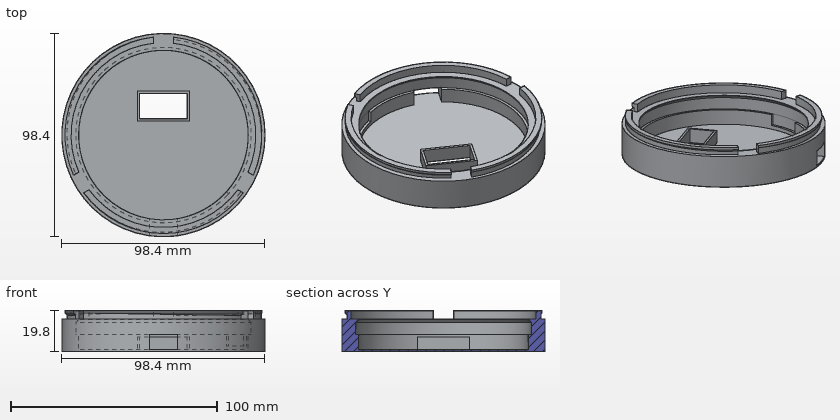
import cadquery as cq
import math

body_radius = 49.2
rim_height = 15.7
total_height = 19.8
floor_thickness = 0.9
bore_radius = 41.0
groove_radius = 42.44
ledge_height = 8.3
rim_land = 0.3

lug_outer_radius = 47.6
lug_inner_radius = 44.7
lip_height = 1.2
end_overhang = 1.2
lug_count = 3
gap_width = 9.8
first_gap_angle = 90.0

window_length = 22.9
window_width = 12.1
window_center_y = 14.0
frame_wall = 1.2
frame_top = 7.1

port_width = 13.5
port_top = 8.3

recess_bottom = 2.8
recess_start_angle = -42.0
recess_end_angle = -19.0


def polar(radius, angle):
    """Point at a radius and an angle in degrees about the body axis."""
    return radius * math.cos(math.radians(angle)), radius * math.sin(math.radians(angle))


def cylinder(radius, bottom, top):
    return cq.Workplane("XY").workplane(offset=bottom).circle(radius).extrude(top - bottom)


def block(length, width, center_y, bottom, top):
    """Upright box centred on X = 0."""
    base = cq.Workplane("XY").workplane(offset=bottom).center(0, center_y)
    return base.rect(length, width).extrude(top - bottom)


def make_cup():
    """Revolved cup with an undercut groove between the ledge and the rim lip."""
    groove_depth = groove_radius - bore_radius
    roof_bottom = rim_height - rim_land - groove_depth
    profile = [
        (0, 0),
        (body_radius, 0),
        (body_radius, rim_height),
        (bore_radius, rim_height),
        (bore_radius, rim_height - rim_land),
        (groove_radius, roof_bottom),
        (groove_radius, ledge_height),
        (bore_radius, ledge_height),
        (bore_radius, floor_thickness),
        (0, floor_thickness),
    ]
    return cq.Workplane("XZ").polyline(profile).close().revolve(360, (0, 0), (0, 1))


def make_lug():
    """The lug on the -Y side: an eccentric neck under a lip with a 45 degree underside."""
    step = 360 / lug_count
    start_gap = first_gap_angle + step
    end_gap = start_gap + step
    half_gap = math.degrees(math.asin(gap_width / 2 / lug_outer_radius))
    start = start_gap + half_gap
    end = end_gap - half_gap
    lip_bottom = total_height - lip_height
    neck_end_radius = lug_outer_radius - end_overhang
    neck_middle_radius = lug_outer_radius - end_overhang / 2

    neck = (
        cq.Workplane("XY").workplane(offset=rim_height)
        .moveTo(0, 0)
        .lineTo(*polar(lug_outer_radius, start))
        .threePointArc(polar(neck_middle_radius, (start + end) / 2), polar(neck_end_radius, end))
        .close()
        .extrude(lip_bottom - rim_height)
    )
    lip_profile = [
        (0, total_height),
        (lug_outer_radius, total_height),
        (lug_outer_radius, lip_bottom),
        (neck_end_radius, lip_bottom - end_overhang),
        (0, lip_bottom - end_overhang),
    ]
    lip = cq.Workplane("XZ").polyline(lip_profile).close().revolve(360, (0, 0), (0, 1))

    middle = (start_gap + end_gap) / 2
    reach = 2 * body_radius
    tip = polar(gap_width / 2 / math.sin(math.radians(step / 2)), middle)
    sides = [(tip[0] + x, tip[1] + y) for x, y in (polar(reach, start_gap), polar(reach, end_gap))]
    wedge = (
        cq.Workplane("XY").workplane(offset=rim_height)
        .polyline([tip, sides[0], polar(2 * reach, middle), sides[1]])
        .close()
        .extrude(total_height - rim_height)
    )
    ring = cylinder(lug_outer_radius, rim_height, total_height)
    ring = ring.cut(cylinder(lug_inner_radius, rim_height, total_height))
    return neck.union(lip).intersect(ring).intersect(wedge)


def make_recess():
    """Sector of the wall between the bore and the groove radius."""
    middle = (recess_start_angle + recess_end_angle) / 2
    return (
        cq.Workplane("XY").workplane(offset=recess_bottom)
        .moveTo(0, 0)
        .lineTo(*polar(groove_radius, recess_start_angle))
        .threePointArc(polar(groove_radius, middle), polar(groove_radius, recess_end_angle))
        .close()
        .extrude(ledge_height - recess_bottom)
    )


result = make_cup().cut(make_recess())

lug = make_lug()
for index in range(lug_count):
    result = result.union(lug.rotate((0, 0, 0), (0, 0, 1), index * 360 / lug_count))

frame_length = window_length + 2 * frame_wall
frame_width = window_width + 2 * frame_wall
result = result.union(block(frame_length, frame_width, window_center_y, 0, frame_top))
result = result.cut(block(window_length, window_width, window_center_y, 0, frame_top))

port_depth = body_radius - bore_radius / 2
port_center_y = port_depth / 2 - body_radius
result = result.cut(block(port_width, port_depth, port_center_y, floor_thickness, port_top))